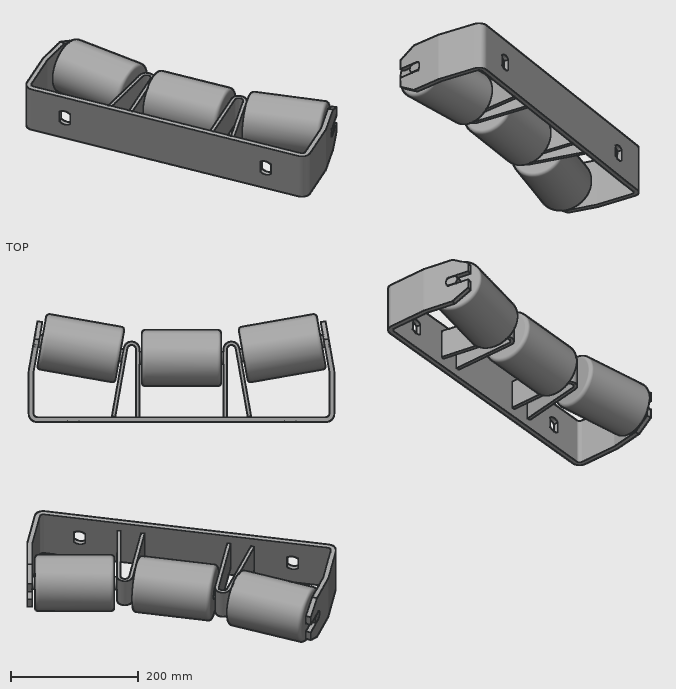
import cadquery as cq
import math


FRAME_LENGTH = 480.0
FRAME_HEIGHT = 80.0
FRAME_THICKNESS = 8.0
BEND_OUTER_RADIUS = 14.0
BEND_INNER_RADIUS = BEND_OUTER_RADIUS - FRAME_THICKNESS
TILT = 10.0
ARM_BEND_Y = 78.5
ARM_BEND_X = FRAME_LENGTH / 2 - BEND_OUTER_RADIUS
ARM_TIP_LENGTH = 78.5
TIP_CHAMFER_LENGTH = 28.5
TIP_CHAMFER_HEIGHT = 16.5

MOUNT_SPACING = 340.0
MOUNT_DIAMETER = 26.0
MOUNT_WIDTH = 18.0

ROLLER_DIAMETER = 89.0
ROLLER_LENGTH = 125.0
ROLLER_EDGE_RADIUS = 6.0
SHAFT_DIAMETER = 20.0
SHAFT_FLAT_WIDTH = 14.0
SLOT_WIDTH = 16.0
MIDDLE_ROLLER_Y = 101.0
OUTER_ROLLER_X = 158.0
OUTER_ROLLER_Y = 116.0

BRACKET_HEIGHT = 50.0
BRACKET_THICKNESS = 6.0
BRACKET_FACE_X = 66.0
ARCH_OUTER_RADIUS = 12.5
ARCH_INNER_RADIUS = ARCH_OUTER_RADIUS - BRACKET_THICKNESS
ARCH_X = BRACKET_FACE_X + ARCH_OUTER_RADIUS
ARCH_Y = 114.0

SIN_TILT = math.sin(math.radians(TILT))
COS_TILT = math.cos(math.radians(TILT))


def distance_along_outer_axis(x, y):
    """Distance of a point from the middle of the +X roller, measured along that roller's axis."""
    return (x - OUTER_ROLLER_X) * COS_TILT + (y - OUTER_ROLLER_Y) * SIN_TILT


ARM_OUTER_FACE = distance_along_outer_axis(ARM_BEND_X, ARM_BEND_Y) + BEND_OUTER_RADIUS
ARM_INNER_FACE = ARM_OUTER_FACE - FRAME_THICKNESS
BRACKET_FACE = -distance_along_outer_axis(ARCH_X, ARCH_Y) - ARCH_OUTER_RADIUS


def polar(center_x, center_y, radius, angle):
    """Point at a radius and angle (degrees) around a centre."""
    turn = math.radians(angle)
    return (center_x + radius * math.cos(turn), center_y + radius * math.sin(turn))


def along_tilt(point, distance):
    """Point moved along the leaning direction of the +X arm; negative distances lead to the frame's back."""
    return (point[0] - distance * SIN_TILT, point[1] + distance * COS_TILT)


def flatted_disc(diameter, width, start, end):
    """Cylinder on the X axis from start to end, with flats facing +Z and -Z."""
    disc = cq.Workplane("YZ").workplane(offset=start).circle(diameter / 2).extrude(end - start)
    slab = cq.Workplane("YZ").workplane(offset=start).rect(diameter, width).extrude(end - start)
    return disc.intersect(slab)


def on_outer_axis(body):
    """Move a body built around the X axis onto the axis of the +X roller."""
    turned = body.rotate((0, 0, 0), (0, 0, 1), TILT)
    return turned.translate((OUTER_ROLLER_X, OUTER_ROLLER_Y, 0))



def make_half_strip():
    """The +X half of the bent strip."""
    outer_x = FRAME_LENGTH / 2
    inner_x = outer_x - FRAME_THICKNESS
    bend_outer_middle = polar(ARM_BEND_X, ARM_BEND_Y, BEND_OUTER_RADIUS, TILT / 2)
    bend_inner_middle = polar(ARM_BEND_X, ARM_BEND_Y, BEND_INNER_RADIUS, TILT / 2)
    bend_outer_end = polar(ARM_BEND_X, ARM_BEND_Y, BEND_OUTER_RADIUS, TILT)
    bend_inner_end = polar(ARM_BEND_X, ARM_BEND_Y, BEND_INNER_RADIUS, TILT)
    profile = (
        cq.Workplane("XY")
        .workplane(offset=-FRAME_HEIGHT / 2)
        .moveTo(0, 0)
        .lineTo(ARM_BEND_X, 0)
        .radiusArc((outer_x, BEND_OUTER_RADIUS), -BEND_OUTER_RADIUS)
        .lineTo(outer_x, ARM_BEND_Y)
        .threePointArc(bend_outer_middle, bend_outer_end)
        .lineTo(*along_tilt(bend_outer_end, ARM_TIP_LENGTH))
        .lineTo(*along_tilt(bend_inner_end, ARM_TIP_LENGTH))
        .lineTo(*bend_inner_end)
        .threePointArc(bend_inner_middle, (inner_x, ARM_BEND_Y))
        .lineTo(inner_x, BEND_OUTER_RADIUS)
        .radiusArc((ARM_BEND_X, FRAME_THICKNESS), BEND_INNER_RADIUS)
        .lineTo(0, FRAME_THICKNESS)
        .close()
    )
    return profile.extrude(FRAME_HEIGHT)


def make_shaft_slot():
    """Slot through the +X arm, rounded to the shaft at its closed end and open at the arm's tip."""
    seat = flatted_disc(SHAFT_DIAMETER, SLOT_WIDTH, ARM_INNER_FACE, ARM_OUTER_FACE)
    channel = (
        cq.Workplane("YZ")
        .workplane(offset=ARM_INNER_FACE)
        .center(ARM_TIP_LENGTH / 2, 0)
        .rect(ARM_TIP_LENGTH, SLOT_WIDTH)
        .extrude(FRAME_THICKNESS)
    )
    return on_outer_axis(seat.union(channel))


def make_tip_chamfer():
    """Wedge that cuts the upper corner off the tip of the +X arm."""
    tip_corner = along_tilt(polar(ARM_BEND_X, ARM_BEND_Y, BEND_OUTER_RADIUS, TILT), ARM_TIP_LENGTH)
    edge_z = FRAME_HEIGHT / 2
    wedge = (
        cq.Workplane("YZ")
        .workplane(offset=-FRAME_THICKNESS)
        .polyline([(0, edge_z - TIP_CHAMFER_HEIGHT), (0, edge_z), (-TIP_CHAMFER_LENGTH, edge_z)])
        .close()
        .extrude(FRAME_THICKNESS)
    )
    return wedge.rotate((0, 0, 0), (0, 0, 1), TILT).translate((*tip_corner, 0))


def make_mounting_hole():
    """Upright hole through the +X half of the frame's back, with flat sides facing +X and -X."""
    circle = cq.Workplane("XZ").circle(MOUNT_DIAMETER / 2).extrude(-FRAME_THICKNESS)
    slab = cq.Workplane("XZ").rect(MOUNT_WIDTH, MOUNT_DIAMETER).extrude(-FRAME_THICKNESS)
    return circle.intersect(slab).translate((MOUNT_SPACING / 2, 0, 0))


def make_frame():
    upper_chamfer = make_tip_chamfer()
    lower_chamfer = upper_chamfer.mirror("XY")
    half = make_half_strip()
    for cutter in (make_shaft_slot(), upper_chamfer, lower_chamfer, make_mounting_hole()):
        half = half.cut(cutter)
    return half.union(half.mirror("YZ"))



def make_bracket():
    """The +X bracket: an upright leg, an arch and a leg that leans like the arm."""
    arch_outer_middle = polar(ARCH_X, ARCH_Y, ARCH_OUTER_RADIUS, 90 + TILT / 2)
    arch_inner_middle = polar(ARCH_X, ARCH_Y, ARCH_INNER_RADIUS, 90 + TILT / 2)
    arch_outer_end = polar(ARCH_X, ARCH_Y, ARCH_OUTER_RADIUS, TILT)
    arch_inner_end = polar(ARCH_X, ARCH_Y, ARCH_INNER_RADIUS, TILT)
    leg_length = (arch_inner_end[1] - FRAME_THICKNESS) / COS_TILT
    leg_inner_x = BRACKET_FACE_X + BRACKET_THICKNESS
    profile = (
        cq.Workplane("XY")
        .workplane(offset=-BRACKET_HEIGHT / 2)
        .moveTo(BRACKET_FACE_X, FRAME_THICKNESS)
        .lineTo(BRACKET_FACE_X, ARCH_Y)
        .threePointArc(arch_outer_middle, arch_outer_end)
        .lineTo(*along_tilt(arch_outer_end, -leg_length))
        .lineTo(*along_tilt(arch_inner_end, -leg_length))
        .lineTo(*arch_inner_end)
        .threePointArc(arch_inner_middle, (leg_inner_x, ARCH_Y))
        .lineTo(leg_inner_x, FRAME_THICKNESS)
        .close()
    )
    return profile.extrude(BRACKET_HEIGHT)



def make_roller(shaft_left, shaft_right):
    """Roller centred on the X axis, with a round shaft reaching the given distances to each side."""
    drum = (
        cq.Workplane("YZ")
        .workplane(offset=-ROLLER_LENGTH / 2)
        .circle(ROLLER_DIAMETER / 2)
        .extrude(ROLLER_LENGTH)
        .faces("<X or >X")
        .edges()
        .fillet(ROLLER_EDGE_RADIUS)
    )
    shaft = (
        cq.Workplane("YZ")
        .workplane(offset=-shaft_left)
        .circle(SHAFT_DIAMETER / 2)
        .extrude(shaft_left + shaft_right)
    )
    return drum.union(shaft)


def make_middle_roller():
    """Roller between the brackets, its shaft ends against their upright legs."""
    return make_roller(BRACKET_FACE_X, BRACKET_FACE_X).translate((0, MIDDLE_ROLLER_Y, 0))


def make_outer_roller():
    """The +X roller: one shaft end against the bracket, the other with a flatted end in the arm slot."""
    flatted_end = flatted_disc(SHAFT_DIAMETER, SHAFT_FLAT_WIDTH, ARM_INNER_FACE, ARM_OUTER_FACE)
    return on_outer_axis(make_roller(BRACKET_FACE, ARM_INNER_FACE).union(flatted_end))



frame = make_frame()
middle_roller = make_middle_roller()
side_bodies = []
for body in (make_bracket(), make_outer_roller()):
    side_bodies.append(body.val())
    side_bodies.append(body.mirror("YZ").val())

result = cq.Compound.makeCompound([frame.val(), middle_roller.val(), *side_bodies])